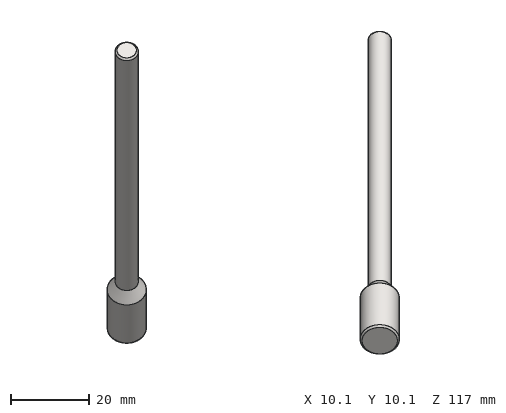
import cadquery as cq

TOTAL_LENGTH = 117.0
HEAD_DIAMETER = 10.1
HEAD_LENGTH = 20.0
TAPER_LENGTH = 3.4
SHANK_DIAMETER = 6.0
END_CHAMFER = 0.5

HEAD_RADIUS = HEAD_DIAMETER / 2
SHANK_RADIUS = SHANK_DIAMETER / 2
SHOULDER_HEIGHT = HEAD_LENGTH - TAPER_LENGTH
SHANK_LENGTH = TOTAL_LENGTH - HEAD_LENGTH


def make_head():
    """Cylindrical head, chamfered below and tapering to the shank diameter above."""
    half_profile = (
        cq.Workplane("XZ")
        .moveTo(0, 0)
        .lineTo(HEAD_RADIUS - END_CHAMFER, 0)
        .lineTo(HEAD_RADIUS, END_CHAMFER)
        .lineTo(HEAD_RADIUS, SHOULDER_HEIGHT)
        .lineTo(SHANK_RADIUS, HEAD_LENGTH)
        .lineTo(0, HEAD_LENGTH)
        .close()
    )
    return half_profile.revolve(360, (0, 0, 0), (0, 1, 0))


def make_shank():
    """Round shank standing on the head, with a chamfered free end."""
    return (
        cq.Workplane("XY")
        .workplane(offset=HEAD_LENGTH)
        .circle(SHANK_RADIUS)
        .extrude(SHANK_LENGTH)
        .faces(">Z")
        .chamfer(END_CHAMFER)
    )


head = make_head()
shank = make_shank()

result = cq.Compound.makeCompound([head.val(), shank.val()])